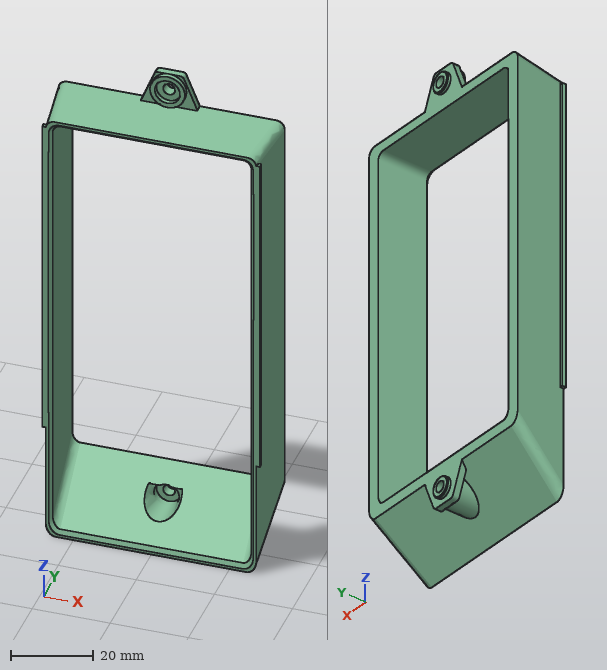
import cadquery as cq

depth = 15.9
back_half_width = 29.0
front_half_width = 27.0
back_top = 122.4
front_top = 121.1
back_bottom = 14.6
outer_radius = 2.4

opening_half_width = 25.4
opening_top = 119.5
opening_floor_front = 1.6
opening_floor_back = 17.8
opening_radius = 2.0
lip_chamfer = 0.8

rail_half_width = 27.9
rail_thickness = 1.2
rail_bottom = 31.4
rail_top = 119.1

lengthwise_edges = "not(|X or |Z)"

part_top = 131.5
collar_diameter = 9.0
bore_diameter = 6.5
hole_diameter = 3.0
pin_diameter = 5.8
pin_height = 1.0
pin_chamfer = 0.3
lug_thickness = 2.0
collar_height = 1.3
lug_base_half_width = 7.2
lug_tip_half_width = 3.5
lug_corner_radius = 1.2
lug_overlap = 0.5
upper_hole_z = part_top - collar_diameter / 2
lower_hole_z = 10.0
lower_lug_tip = lower_hole_z - collar_diameter / 2

mouth_diameter = 9.2
mouth_seat_depth = 4.0
mouth_rise = 1.2
mouth_limit = 2.9


def rectangle_wire(half_width, bottom, top, y):
    """Closed rectangle in a plane of constant Y."""
    corners = [
        cq.Vector(-half_width, y, bottom),
        cq.Vector(half_width, y, bottom),
        cq.Vector(half_width, y, top),
        cq.Vector(-half_width, y, top),
    ]
    return cq.Wire.makePolygon(corners, close=True)


def tapered_block(front, back, y_front, y_back):
    """Ruled solid between two (half width, bottom, top) rectangles."""
    wires = [rectangle_wire(*front, y_front), rectangle_wire(*back, y_back)]
    return cq.Workplane(cq.Solid.makeLoft(wires, True))


def cylinder(diameter, z, y_front, y_back):
    """Cylinder along Y, centred at X = 0."""
    start = cq.Vector(0, y_front, z)
    return cq.Workplane(cq.Solid.makeCylinder(diameter / 2, y_back - y_front, start, cq.Vector(0, 1, 0)))


def opening_floor(y):
    """Height of the sloping opening floor at a given Y."""
    return opening_floor_back + y * (opening_floor_back - opening_floor_front) / depth


def make_outer():
    front = (front_half_width, 0, front_top)
    back = (back_half_width, back_bottom, back_top)
    block = tapered_block(front, back, -depth, 0)
    return block.edges(lengthwise_edges).fillet(outer_radius)


def make_opening():
    front = (opening_half_width, opening_floor_front, opening_top)
    back = (opening_half_width, opening_floor_back, opening_top)
    block = tapered_block(front, back, -depth, 0)
    return block.edges(lengthwise_edges).fillet(opening_radius)


def chamfer_front_lip(body):
    """Bevel the front rim of the opening."""
    rim = body.faces("<Y").val().innerWires()[0]
    return body.newObject(rim.Edges()).chamfer(lip_chamfer)


def make_rails():
    """Slab across the frame; cutting the opening leaves a rail on each side."""
    return (
        cq.Workplane("XY")
        .box(2 * rail_half_width, rail_thickness, rail_top - rail_bottom, centered=(True, False, False))
        .translate((0, -depth, rail_bottom))
    )


def make_lug(root_z, tip_z):
    """Tapered plate with rounded tip corners, flush with the frame's back face."""
    direction = 1 if tip_z > root_z else -1
    buried_z = root_z - direction * lug_overlap
    outline = [
        (-lug_base_half_width, buried_z),
        (-lug_base_half_width, root_z),
        (-lug_tip_half_width, tip_z),
        (lug_tip_half_width, tip_z),
        (lug_base_half_width, root_z),
        (lug_base_half_width, buried_z),
    ]
    plate = cq.Workplane("XZ").polyline(outline).close().extrude(lug_thickness)
    tip = ">Z" if direction > 0 else "<Z"
    return plate.faces(tip).edges("|Y").fillet(lug_corner_radius)


def make_pin(z):
    return cylinder(pin_diameter, z, -lug_thickness, pin_height).faces(">Y").chamfer(pin_chamfer)


def make_lower_collar():
    """Tube body running forward until it meets the sloping bottom wall."""
    envelope = (
        cq.Workplane("YZ")
        .polyline([(0, 0), (0, opening_floor(0)), (-depth, opening_floor(-depth)), (-depth, 0)])
        .close()
        .extrude(collar_diameter, both=True)
    )
    return cylinder(collar_diameter, lower_hole_z, -depth, 0).intersect(envelope)


def make_mouth():
    """Flare from the plain bore to a wider, higher opening in the floor."""
    mouth_z = lower_hole_z + mouth_rise
    slope = (opening_floor_back - opening_floor_front) / depth
    normal = cq.Vector(0, -slope, 1)
    centre = cq.Vector(0, (mouth_z - opening_floor_back) / slope, mouth_z)
    stretch = (1 + 1 / slope**2) ** 0.5
    radius = mouth_diameter / 2
    rim = cq.Wire.makeEllipse(radius * stretch, radius, centre, normal, cq.Vector(0, 1, slope))
    seat_centre = cq.Vector(0, -mouth_seat_depth, lower_hole_z)
    seat = cq.Wire.makeEllipse(
        bore_diameter / 2, bore_diameter / 2, seat_centre, cq.Vector(0, -1, 0), cq.Vector(0, 0, 1)
    )
    flare = cq.Workplane(cq.Solid.makeLoft([seat, rim], True))
    limit = cq.Workplane("XY").box(
        2 * mouth_diameter, 2 * depth, lower_hole_z + mouth_limit, centered=(True, True, False)
    )
    return flare.intersect(limit)


frame = make_outer().union(make_rails()).cut(make_opening())
frame = chamfer_front_lip(frame)

frame = frame.union(make_lug(back_top, part_top)).union(make_lug(back_bottom, lower_lug_tip))
frame = frame.union(cylinder(collar_diameter, upper_hole_z, -lug_thickness - collar_height, 0))
frame = frame.union(make_lower_collar())
for hole_z in (upper_hole_z, lower_hole_z):
    frame = frame.union(make_pin(hole_z))

bore_front = {upper_hole_z: -lug_thickness - collar_height, lower_hole_z: -depth}
for hole_z, y_front in bore_front.items():
    frame = frame.cut(cylinder(bore_diameter, hole_z, y_front, -lug_thickness))
    frame = frame.cut(cylinder(hole_diameter, hole_z, -depth, pin_height))

result = frame.cut(make_mouth())